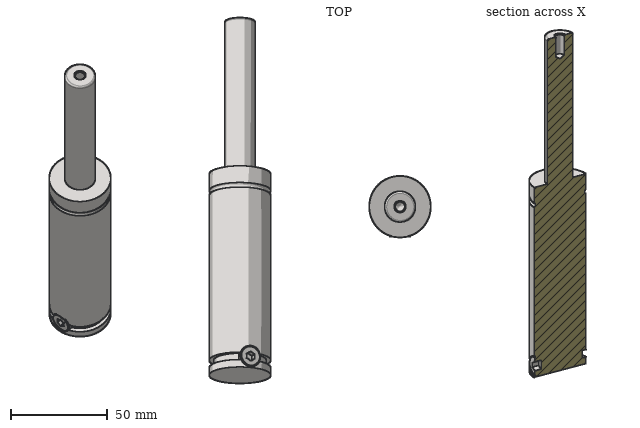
import cadquery as cq
import math

total_height = 190.0
body_diameter = 32.0
body_radius = body_diameter / 2
body_height = 108.0

base_groove_bottom = 4.0
base_groove_width = 4.0
base_groove_diameter = 27.4

head_groove_bottom = 96.5
head_groove_width = 2.5
head_groove_depth = 0.66

rod_diameter = 16.0
rod_fillet = 1.0
rod_hole_diameter = 5.0
rod_hole_mouth_diameter = 6.0
rod_hole_depth = 11.4
drill_point_angle = 118.0

plug_diameter = 11.0
plug_face_diameter = 10.0
plug_height = 6.3
plug_chamfer = (plug_diameter - plug_face_diameter) / 2
plug_length = 7.6
plug_recess = 0.4
socket_corner_diameter = 5.0
socket_depth = 3.8


def cylinder(diameter, bottom, height):
    return cq.Workplane("XY").workplane(offset=bottom).circle(diameter / 2).extrude(height)


def make_body():
    """Cylinder with its two turned grooves."""
    body = cylinder(body_diameter, 0, body_height)
    core = cylinder(base_groove_diameter, base_groove_bottom, base_groove_width)
    ring = cylinder(body_diameter, base_groove_bottom, base_groove_width).cut(core)
    groove_top = head_groove_bottom + head_groove_width
    groove_middle = head_groove_bottom + head_groove_width / 2
    head_groove = (
        cq.Workplane("XZ")
        .moveTo(body_radius, head_groove_bottom)
        .threePointArc((body_radius - head_groove_depth, groove_middle), (body_radius, groove_top))
        .close()
        .revolve(360, (0, 0), (0, 1))
    )
    return body.cut(ring).cut(head_groove)


def make_rod():
    """Rod with a rounded end edge, standing on the body's top face."""
    rod = cylinder(rod_diameter, body_height, total_height - body_height)
    return rod.faces(">Z").edges().fillet(rod_fillet)


def make_rod_hole():
    """Blind hole with a countersunk mouth and a drill-point bottom."""
    radius = rod_hole_diameter / 2
    mouth_radius = rod_hole_mouth_diameter / 2
    hole_bottom = total_height - rod_hole_depth
    point_height = radius / math.tan(math.radians(drill_point_angle / 2))
    profile = [
        (0, total_height),
        (mouth_radius, total_height),
        (radius, total_height - (mouth_radius - radius)),
        (radius, hole_bottom),
        (0, hole_bottom - point_height),
    ]
    return cq.Workplane("XZ").polyline(profile).close().revolve(360, (0, 0), (0, 1))


def plug_plane():
    """Plane of the plug's outer face, set back from the body's skin, with its normal pointing to -Y."""
    return cq.Workplane("XZ", origin=(0, plug_recess - body_radius, plug_height))


def make_plug_pocket():
    """Round pocket that the plug fills up to its chamfer."""
    pocket = plug_plane().workplane(offset=plug_recess).circle(plug_diameter / 2)
    return pocket.extrude(-plug_recess - plug_length)


def make_plug():
    """Round plug with a chamfered face, set back in its pocket."""
    plug = plug_plane().circle(plug_diameter / 2).extrude(-plug_length)
    return plug.faces("<Y").chamfer(plug_chamfer)


def make_plug_socket():
    """Hexagon socket with a corner pointing up."""
    socket = plug_plane().transformed(rotate=(0, 0, 90)).polygon(6, socket_corner_diameter)
    return socket.extrude(-socket_depth)


result = (
    make_body()
    .union(make_rod())
    .cut(make_plug_pocket())
    .union(make_plug())
    .cut(make_rod_hole())
    .cut(make_plug_socket())
)